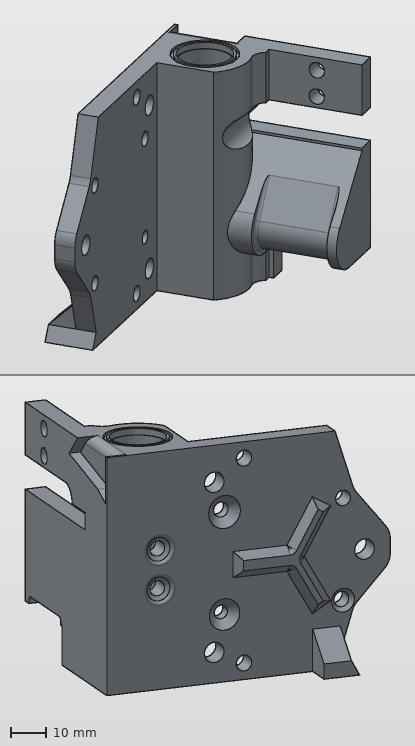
import cadquery as cq
import math


height = 70.0
side_depth = 86.6
back_length = 60.1
wall = 6.2

bore_x = 16.2
bore_y = -16.2
bore_diameter = 15.9
seat_diameter = 16.3
seat_depth = 1.9
ring_outer_diameter = 19.6
ring_inner_diameter = 17.8
ring_depth = 0.9
tower_radius = 13.4
tower_front_y = -27.4
web_x = 31.6
web_y = -8.5
web_arc_mid = (30.2, -9.7)
web_tangent_y = -13.8

back_foot_x = 33.0
slot_height = 10.05
slot_z = 49.45
slot_end_x = 25.6
slot_bottom = slot_z - slot_height / 2
arm_hole_diameter = 4.7
arm_hole_x = 46.25
arm_hole_heights = (57.9, 66.0)

lobe_radius = 8.75
lobe_y = -15.85
lobe_z = 20.3
hinge_lip = 0.8
hinge_inner_x = bore_x
groove_x = (34.0, 57.2)
groove_radius = 6.5
groove_top_z = 35.1
groove_root_radius = 1.0

edge_top_y = -69.7
neck_upper = (-75.5, 52.1)
neck_lower = (-75.4, 17.9)
nose_points = ((-side_depth, 38.6), (-side_depth, 29.8))
outline_radius = 6.1

foot_reach = 8.4
foot_back_y = -62.9
foot_front_y = -71.3
foot_toe_y = -73.8
foot_toe_height = 4.5
foot_top = 12.5

star_y = -56.55
star_z = 34.2
star_height = 2.25
star_slope = 46.0
star_reach = 18.0
back_arm_width = 7.7
front_arm_width = 6.5
front_arm_angle = 60.0

pocket_outline = (
    (1.0, height),
    (1.0, 56.3),
    (6.7, 58.9),
    (27.8, 63.75),
    (21.6, height),
)
pocket_depth = 3.5

plain_holes = (
    (-41.9, 65.1, 4.7),
    (-32.8, 59.1, 6.0),
    (-32.8, 9.0, 6.0),
    (-41.9, 4.85, 4.7),
    (-72.15, 50.0, 4.5),
    (-78.7, 34.2, 6.0),
)
countersunk_holes = (
    (-35.9, 50.0, 4.4, 9.7),
    (-35.9, 19.8, 4.0, 9.3),
    (-72.15, 19.9, 4.5, 7.0),
)
set_screw_heights = (41.0, 29.3)
set_screw_diameter = 4.5
set_screw_rim_radius = 1.0
set_screw_recess_diameter = 7.0
set_screw_recess_depth = 1.1
set_screw_cone_depth = 0.8


def extrude_x(profile, x_start, x_end):
    """Extrude a closed (y, z) polygon between two x positions."""
    return cq.Workplane("YZ", origin=(x_start, 0, 0)).polyline(profile).close().extrude(x_end - x_start)


def cylinder_x(y, z, diameter, x_start, x_end):
    plane = cq.Workplane("YZ", origin=(x_start, 0, 0))
    return plane.center(y, z).circle(diameter / 2).extrude(x_end - x_start)


def tangent_point(start, center, radius):
    """Point where the line from start touches the -Y side of a circle in the YZ plane."""
    dy = start[0] - center[0]
    dz = start[1] - center[1]
    angle = math.atan2(dz, dy) + math.acos(radius / math.hypot(dy, dz))
    return (center[0] + radius * math.cos(angle), center[1] + radius * math.sin(angle))


def side_plate():
    outline = [(0, 0), (0, height), (edge_top_y, height), neck_upper, *nose_points, neck_lower,
               (foot_front_y, foot_toe_height), (foot_toe_y, 0)]
    plate = extrude_x(outline, 0, wall)
    for y, z in (neck_upper, *nose_points, neck_lower):
        corner = cq.selectors.NearestToPointSelector((wall / 2, y, z))
        plate = plate.edges("|X").edges(corner).fillet(outline_radius)
    return plate


def foot():
    block = (
        cq.Workplane("XZ", origin=(0, foot_back_y, 0))
        .polyline([(0, 0), (-foot_reach, 0), (-foot_reach, foot_toe_height), (0, foot_top)])
        .close()
        .extrude(foot_back_y - foot_front_y)
    )
    toe = [(foot_front_y, 0), (foot_front_y, foot_toe_height), (foot_toe_y, 0)]
    return block.union(extrude_x(toe, -foot_reach, wall))


def star():
    """Raised star with sloping flanks, one arm toward +Y and two toward -Y."""
    back_half = back_arm_width / 2
    front_half = front_arm_width / 2
    angle = math.radians(front_arm_angle)
    along = (-math.cos(angle), math.sin(angle))
    across = (along[1], -along[0])
    tip = [
        (star_reach * along[0] + side * front_half * across[0],
         star_reach * along[1] + side * front_half * across[1])
        for side in (1, -1)
    ]
    notch_y = (front_half - back_half * across[1]) / across[0]
    upper = [(star_reach, back_half), (notch_y, back_half), *tip]
    crotch = (-front_half / across[0], 0)
    lower = [(y, -z) for y, z in reversed(upper)]
    outline = [(star_y + y, star_z + z) for y, z in [*upper, crotch, *lower]]
    return cq.Workplane("YZ").polyline(outline).close().extrude(-star_height, taper=star_slope)


def tower():
    """Full-height column around the bore."""
    corner_x = bore_x + math.sqrt(tower_radius**2 - (tower_front_y - bore_y) ** 2)
    return (
        cq.Workplane("XY")
        .lineTo(bore_x, 0)
        .lineTo(bore_x, bore_y + tower_radius)
        .threePointArc((bore_x + tower_radius, bore_y), (corner_x, tower_front_y))
        .lineTo(0, tower_front_y)
        .close()
        .extrude(height)
    )


def web(z_bottom, z_top):
    """Back plate strip beside the tower, flowing into it through a hollow curve."""
    web_tangent_x = bore_x + math.sqrt(tower_radius**2 - (web_tangent_y - bore_y) ** 2)
    return (
        cq.Workplane("XY", origin=(0, 0, z_bottom))
        .moveTo(bore_x, 0)
        .lineTo(back_foot_x, 0)
        .lineTo(back_foot_x, -wall)
        .lineTo(web_x, -wall)
        .lineTo(web_x, web_y)
        .threePointArc(web_arc_mid, (web_tangent_x, web_tangent_y))
        .lineTo(bore_x, bore_y)
        .close()
        .extrude(z_top - z_bottom)
    )


def upper_arm():
    """Back plate above the slot; it starts at the slot centre so that the slot trims it."""
    arm = cq.Workplane("XY", origin=(0, 0, slot_z))
    return arm.rect(back_length, -wall, centered=False).extrude(height - slot_z)


def hinge_arm():
    """Arm with a sloping face that ends in a rounded lobe, and a flat underside."""
    lobe_center = (lobe_y, lobe_z)
    slope_start = (-wall, slot_bottom - hinge_lip)
    slope_end = tangent_point(slope_start, lobe_center, lobe_radius)
    arm = (
        cq.Workplane("YZ", origin=(hinge_inner_x, 0, 0))
        .moveTo(0, lobe_z - lobe_radius)
        .lineTo(0, slot_bottom)
        .lineTo(-wall, slot_bottom)
        .lineTo(*slope_start)
        .lineTo(*slope_end)
        .threePointArc((lobe_y - lobe_radius, lobe_z), (lobe_y, lobe_z - lobe_radius))
        .close()
        .extrude(back_length - hinge_inner_x)
    )
    run = (slope_end[0] - slope_start[0]) / (slope_end[1] - slope_start[1])
    groove_start = (slope_start[0] + run * (groove_top_z - slope_start[1]), groove_top_z)
    return arm.cut(groove(groove_start, lobe_center))


def groove(floor_start, center):
    """Cutter around the lobe with rounded floor corners; it runs past the arm on every side."""
    margin = lobe_radius
    floor_end = tangent_point(floor_start, center, groove_radius)
    overrun = (2 * floor_start[0] - floor_end[0], 2 * floor_start[1] - floor_end[1])
    front_y = lobe_y - lobe_radius - margin
    bottom_z = lobe_z - lobe_radius - margin
    cutter = (
        cq.Workplane("YZ", origin=(groove_x[0], 0, 0))
        .moveTo(margin, bottom_z)
        .lineTo(margin, lobe_z - groove_radius)
        .lineTo(lobe_y, lobe_z - groove_radius)
        .threePointArc((lobe_y - groove_radius, lobe_z), floor_end)
        .lineTo(*overrun)
        .lineTo(front_y, overrun[1])
        .lineTo(front_y, bottom_z)
        .close()
        .extrude(groove_x[1] - groove_x[0])
    )
    return cutter.edges("%CIRCLE").fillet(groove_root_radius)


def slot():
    radius = slot_height / 2
    depth = -tower_front_y
    length = back_length - slot_end_x
    round_end = cq.Workplane("XZ").center(slot_end_x + radius, slot_z).circle(radius).extrude(depth)
    straight = (
        cq.Workplane("XZ")
        .center(slot_end_x + radius + length / 2, slot_z)
        .rect(length, slot_height)
        .extrude(depth)
    )
    return round_end.union(straight)


def bore():
    """Through bore with a shallow seat and an annular groove around its mouth."""
    hole = cq.Workplane("XY").circle(bore_diameter / 2).extrude(height)
    top_down = cq.Workplane("XY", origin=(0, 0, height))
    seat = top_down.circle(seat_diameter / 2).extrude(-seat_depth)
    ring = top_down.circle(ring_outer_diameter / 2).circle(ring_inner_diameter / 2).extrude(-ring_depth)
    return hole.union(seat).union(ring).translate((bore_x, bore_y, 0))


def rear_pocket():
    """Pocket open to the back and the top, with its front rim rounded over."""
    rim_radius = wall - pocket_depth
    pocket = cq.Workplane("XZ").polyline(pocket_outline).close().extrude(wall)
    rounded_front = (
        cq.Workplane("YZ")
        .moveTo(-wall, height)
        .radiusArc((-pocket_depth, height - rim_radius), rim_radius)
        .lineTo(-pocket_depth, 0)
        .lineTo(-wall, 0)
        .close()
        .extrude(back_length)
    )
    return pocket.cut(rounded_front)


def countersink(y, z, diameter, rim_diameter, depth):
    """Hole along X with a 45 degree countersink on the side face."""
    cone_depth = (rim_diameter - diameter) / 2
    cone = (
        cq.Workplane("XY", origin=(0, y, z))
        .polyline([(0, 0), (0, rim_diameter / 2), (cone_depth, diameter / 2), (cone_depth, 0)])
        .close()
        .revolve(360, (0, 0), (1, 0))
    )
    return cone.union(cylinder_x(y, z, diameter, 0, depth))


def set_screw_hole(z):
    """Hole into the bore with a recess whose rim is rounded over."""
    recess_radius = set_screw_recess_diameter / 2
    hole_radius = set_screw_diameter / 2
    return (
        cq.Workplane("XY", origin=(0, bore_y, z))
        .moveTo(0, 0)
        .lineTo(0, recess_radius + set_screw_rim_radius)
        .radiusArc((set_screw_rim_radius, recess_radius), -set_screw_rim_radius)
        .lineTo(set_screw_recess_depth, recess_radius)
        .lineTo(set_screw_recess_depth + set_screw_cone_depth, hole_radius)
        .lineTo(bore_x, hole_radius)
        .lineTo(bore_x, 0)
        .close()
        .revolve(360, (0, 0), (1, 0))
    )


result = side_plate().union(foot()).union(star())
result = result.union(tower()).union(web(0, lobe_z)).union(web(slot_z, height))
result = result.union(upper_arm()).union(hinge_arm())
result = result.cut(slot()).cut(bore()).cut(rear_pocket())

for y, z, diameter in plain_holes:
    result = result.cut(cylinder_x(y, z, diameter, 0, wall))

for y, z, diameter, rim_diameter in countersunk_holes:
    result = result.cut(countersink(y, z, diameter, rim_diameter, wall))

for z in set_screw_heights:
    result = result.cut(set_screw_hole(z))

for z in arm_hole_heights:
    hole = cq.Workplane("XZ").center(arm_hole_x, z).circle(arm_hole_diameter / 2).extrude(wall)
    result = result.cut(hole)